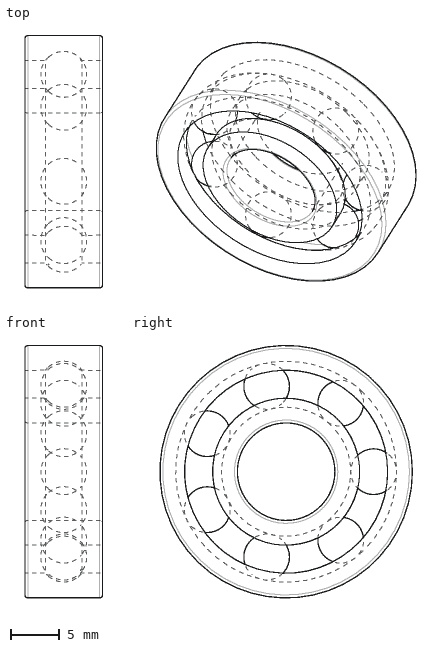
import cadquery as cq
import math

outer_diameter = 26.0
bore_diameter = 10.0
width = 8.0
inner_ring_diameter = 15.13
outer_ring_bore = 20.88
edge_fillet = 0.3
ball_diameter = 4.73
ball_count = 7

pitch_radius = (inner_ring_diameter + outer_ring_bore) / 4
ball_radius = ball_diameter / 2


def plain_ring(outside_diameter, inside_diameter):
    """Ring along X, centred on the origin."""
    return (
        cq.Workplane("YZ", origin=(-width / 2, 0, 0))
        .circle(outside_diameter / 2)
        .circle(inside_diameter / 2)
        .extrude(width)
    )


def cut_raceway(ring):
    """Cut the round groove that the balls run in."""
    groove = cq.Solid.makeTorus(
        pitch_radius, ball_radius, cq.Vector(0, 0, 0), cq.Vector(1, 0, 0)
    )
    return ring.cut(cq.Workplane(groove))


def make_outer_ring():
    ring = plain_ring(outer_diameter, outer_ring_bore)
    rim_edges = cq.selectors.RadiusNthSelector(-1)
    return cut_raceway(ring.edges(rim_edges).fillet(edge_fillet))


def make_inner_ring():
    ring = plain_ring(inner_ring_diameter, bore_diameter)
    bore_edges = cq.selectors.RadiusNthSelector(0)
    return cut_raceway(ring.edges(bore_edges).fillet(edge_fillet))


def make_ball(angle):
    """Ball on the pitch circle, at an angle measured from +Y toward +Z."""
    y = pitch_radius * math.cos(angle)
    z = pitch_radius * math.sin(angle)
    return cq.Workplane("XY").sphere(ball_radius).translate((0, y, z))


outer_ring = make_outer_ring()
inner_ring = make_inner_ring()

balls = []
for index in range(ball_count):
    ball = make_ball(2 * math.pi * index / ball_count)
    balls.append(ball.val())

result = cq.Compound.makeCompound([outer_ring.val(), inner_ring.val(), *balls])